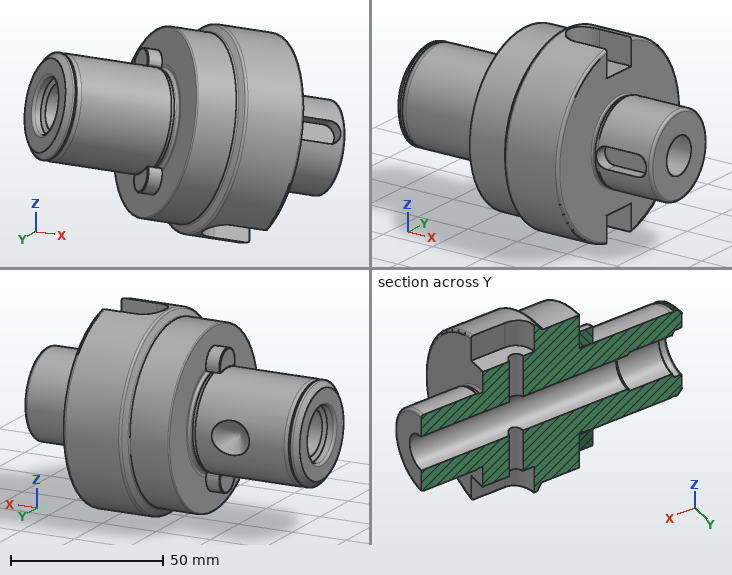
import cadquery as cq
import math

TOTAL_LENGTH = 102.0

SHANK_DIAMETER = 36.0
SHANK_NOSE_DIAMETER = 31.4
SHANK_NOSE_LENGTH = 1.8
SHANK_NOSE_FILLET = 0.7
SHANK_LAND_END = 2.4
SHANK_GROOVE_START = 3.1
SHANK_GROOVE_END = 3.4
SHANK_GROOVE_RUNOUT = 4.7
SHANK_GROOVE_DEPTH = 0.3

FLANGE_START = 40.1
FLANGE_DIAMETER = 64.0
FLANGE_EDGE_FILLET = 0.4

COLLAR_CONE_START = 54.9
COLLAR_CONE_ANGLE = 60.0
COLLAR_END = 77.9
COLLAR_DIAMETER = 70.0
COLLAR_EDGE_FILLET = 1.0
CONE_ROOT_FILLET = 0.7

PILOT_DIAMETER = 32.0
PILOT_EDGE_FILLET = 1.0

UNDERCUT_DEPTH = 0.4
UNDERCUT_LENGTH = 2.5
UNDERCUT_FLAT = 1.3
SHANK_UNDERCUT_FILLET = 0.8
PILOT_UNDERCUT_FILLET = 0.5
FACE_RELIEF_DIAMETER = 39.1
FACE_RELIEF_DEPTH = 0.2

BORE_DIAMETER = 14.0
BORE_ENTRY_DIAMETER = 16.0
BORE_ENTRY_DEPTH = 20.4
COUNTERBORE_DIAMETER = 19.4
COUNTERBORE_DEPTH = 3.1
COUNTERBORE_CONE_LENGTH = 0.9
BORE_MOUTH_FILLET = 0.9

SLOT_WIDTH = 14.0
SLOT_CENTER_X = 64.9
SLOT_FLOOR_HEIGHT = 24.1
CROSS_HOLE_DIAMETER = 5.2

KEYWAY_WIDTH = 8.1
KEYWAY_LENGTH = 20.3
KEYWAY_CENTER_X = 90.1
KEYWAY_DEPTH = 5.1

DIMPLE_DIAMETER = 14.0
DIMPLE_CENTER_X = 24.5
DIMPLE_DEPTH = DIMPLE_DIAMETER / 2

TENON_DIAMETER = 11.0
TENON_LENGTH = 5.2
TENON_CENTER_HEIGHT = 19.4
TENON_END_CHAMFER = 0.3
TENON_CORNER_FILLET = 0.6

SIDE_ANGLES = (0, 180)

shank_radius = SHANK_DIAMETER / 2
flange_radius = FLANGE_DIAMETER / 2
collar_radius = COLLAR_DIAMETER / 2
pilot_radius = PILOT_DIAMETER / 2
bore_radius = BORE_DIAMETER / 2


def revolve_about_x(outline):
    return outline.close().revolve(360, (0, 0, 0), (1, 0, 0))


def turn_to_side(shape, side_angle):
    return shape.rotate((0, 0, 0), (1, 0, 0), side_angle)


def round_circle(body, x, radius, fillet):
    """Fillet the circular edge of this radius that runs around the axis at this X."""
    margin = 0.01
    reach = radius + margin
    around_axis = cq.selectors.BoxSelector(
        (x - margin, -reach, -reach), (x + margin, reach, reach), boundingbox=True
    )
    outermost = cq.selectors.RadiusNthSelector(-1)
    return body.edges(around_axis).edges(outermost).fillet(fillet)


def turned_blank():
    """Outer shape of the holder, revolved about X, with its edges rounded."""
    shank_undercut_radius = shank_radius - UNDERCUT_DEPTH
    pilot_undercut_radius = pilot_radius - UNDERCUT_DEPTH
    shank_groove_radius = shank_radius - SHANK_GROOVE_DEPTH
    relief_bottom = FLANGE_START + FACE_RELIEF_DEPTH
    cone_length = (collar_radius - flange_radius) / math.tan(math.radians(COLLAR_CONE_ANGLE))
    cone_end = COLLAR_CONE_START + cone_length

    shank = [
        (0, 0),
        (0, SHANK_NOSE_DIAMETER / 2),
        (SHANK_NOSE_LENGTH, shank_radius),
        (SHANK_LAND_END, shank_radius),
        (SHANK_GROOVE_START, shank_groove_radius),
        (SHANK_GROOVE_END, shank_groove_radius),
        (SHANK_GROOVE_RUNOUT, shank_radius),
        (FLANGE_START - UNDERCUT_LENGTH, shank_radius),
        (FLANGE_START - UNDERCUT_FLAT, shank_undercut_radius),
        (relief_bottom, shank_undercut_radius),
    ]
    flange_and_collar = [
        (FLANGE_START, FACE_RELIEF_DIAMETER / 2),
        (FLANGE_START, flange_radius),
        (COLLAR_CONE_START, flange_radius),
        (cone_end, collar_radius),
        (COLLAR_END, collar_radius),
    ]
    pilot = [
        (COLLAR_END, pilot_undercut_radius),
        (COLLAR_END + UNDERCUT_FLAT, pilot_undercut_radius),
        (COLLAR_END + UNDERCUT_LENGTH, pilot_radius),
        (TOTAL_LENGTH, pilot_radius),
        (TOTAL_LENGTH, 0),
    ]
    blank = revolve_about_x(cq.Workplane("XY").polyline(shank + flange_and_collar + pilot))

    rounded_edges = [
        (SHANK_NOSE_LENGTH, shank_radius, SHANK_NOSE_FILLET),
        (relief_bottom, shank_undercut_radius, SHANK_UNDERCUT_FILLET),
        (FLANGE_START, flange_radius, FLANGE_EDGE_FILLET),
        (COLLAR_CONE_START, flange_radius, CONE_ROOT_FILLET),
        (cone_end, collar_radius, COLLAR_EDGE_FILLET),
        (COLLAR_END, collar_radius, COLLAR_EDGE_FILLET),
        (COLLAR_END, pilot_undercut_radius, PILOT_UNDERCUT_FILLET),
        (TOTAL_LENGTH, pilot_radius, PILOT_EDGE_FILLET),
    ]
    for x, radius, fillet in rounded_edges:
        blank = round_circle(blank, x, radius, fillet)
    return blank


def stepped_bore():
    """Through bore with a rounded mouth, a counterbore and conical shoulders."""
    counterbore_radius = COUNTERBORE_DIAMETER / 2
    entry_radius = BORE_ENTRY_DIAMETER / 2
    shoulder_length = entry_radius - bore_radius
    outline = (
        cq.Workplane("XY")
        .lineTo(0, counterbore_radius + BORE_MOUTH_FILLET)
        .radiusArc((BORE_MOUTH_FILLET, counterbore_radius), -BORE_MOUTH_FILLET)
        .lineTo(COUNTERBORE_DEPTH, counterbore_radius)
        .lineTo(COUNTERBORE_DEPTH + COUNTERBORE_CONE_LENGTH, entry_radius)
        .lineTo(BORE_ENTRY_DEPTH, entry_radius)
        .lineTo(BORE_ENTRY_DEPTH + shoulder_length, bore_radius)
        .lineTo(TOTAL_LENGTH, bore_radius)
        .lineTo(TOTAL_LENGTH, 0)
    )
    return revolve_about_x(outline)


def drive_slot():
    """Cutter for the slot in the top of the collar: round inner end, open toward +X."""
    height = collar_radius - SLOT_FLOOR_HEIGHT
    run_length = COLLAR_END - SLOT_CENTER_X
    floor = cq.Workplane("XY", origin=(SLOT_CENTER_X, 0, SLOT_FLOOR_HEIGHT))
    round_end = floor.circle(SLOT_WIDTH / 2).extrude(height)
    run = floor.center(run_length / 2, 0).rect(run_length, SLOT_WIDTH).extrude(height)
    return round_end.union(run)


def cross_hole():
    """Hole along Z that joins the two drive slots through the bore."""
    start = cq.Workplane("XY", origin=(SLOT_CENTER_X, 0, -collar_radius))
    return start.circle(CROSS_HOLE_DIAMETER / 2).extrude(COLLAR_DIAMETER)


def keyway():
    """Cutter for the blind keyway in the -Y side of the pilot."""
    floor = cq.Workplane("XZ", origin=(KEYWAY_CENTER_X, KEYWAY_DEPTH - pilot_radius, 0))
    return floor.slot2D(KEYWAY_LENGTH, KEYWAY_WIDTH).extrude(KEYWAY_DEPTH)


def clamp_dimple():
    """Cutter for the conical dimple in the +Y side of the shank."""
    rim = cq.Vector(DIMPLE_CENTER_X, shank_radius, 0)
    inward = cq.Vector(0, -1, 0)
    return cq.Workplane(cq.Solid.makeCone(DIMPLE_DIAMETER / 2, 0, DIMPLE_DEPTH, rim, inward))


def make_holder():
    holder = turned_blank().cut(stepped_bore())
    for side_angle in SIDE_ANGLES:
        holder = holder.cut(turn_to_side(drive_slot(), side_angle))
    return holder.cut(cross_hole()).cut(keyway()).cut(clamp_dimple())


def make_tenon(side_angle):
    """Round drive tenon on the flange face, hollowed underneath to rest on the shank."""
    end_plane = cq.Workplane("YZ", origin=(FLANGE_START - TENON_LENGTH, 0, 0))
    pin = end_plane.center(0, TENON_CENTER_HEIGHT).circle(TENON_DIAMETER / 2).extrude(TENON_LENGTH)
    shank_space = end_plane.circle(shank_radius).extrude(TENON_LENGTH)
    tenon = pin.cut(shank_space)
    bottom_corners = cq.selectors.BoxSelector(
        (0, -TENON_DIAMETER, 0),
        (FLANGE_START, TENON_DIAMETER, shank_radius),
    )
    tenon = tenon.edges("|X").edges(bottom_corners).fillet(TENON_CORNER_FILLET)
    tenon = tenon.faces("<X").chamfer(TENON_END_CHAMFER)
    return turn_to_side(tenon, side_angle)


holder = make_holder()
tenons = [make_tenon(side_angle) for side_angle in SIDE_ANGLES]

result = cq.Compound.makeCompound([holder.val(), *[tenon.val() for tenon in tenons]])